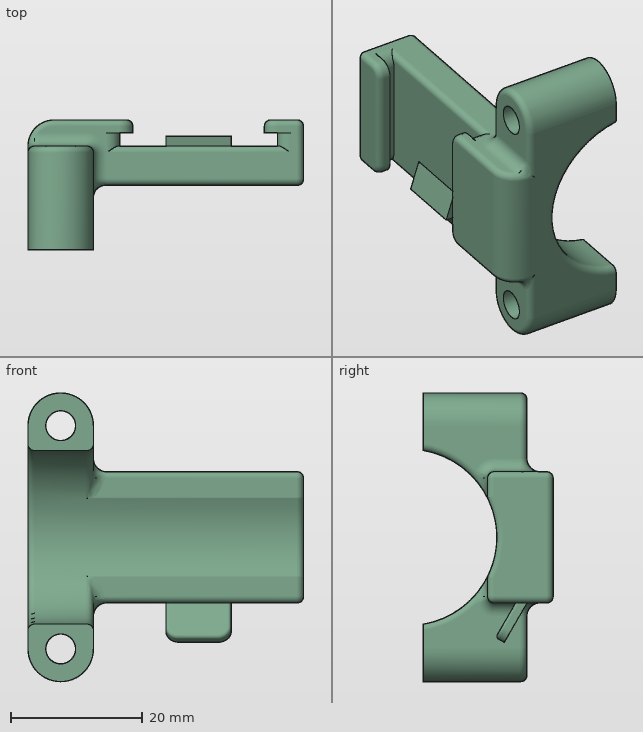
import cadquery as cq
import math

edge_radius = 1.0
junction_radius = 2.0
trough_edge_radius = 0.35

bore_radius = 13.4
saddle_width = 10.0
saddle_height = 44.0
saddle_front = 2.2
saddle_back = 18.0
screw_hole_diameter = 4.5
lug_radius = saddle_width / 2
screw_spacing = saddle_height - 2 * lug_radius

rail_length = 42.0
rail_height = 20.0
rail_thickness = 6.0
rail_front = saddle_back - rail_thickness
rail_middle = saddle_back - rail_thickness / 2
rail_span = (-rail_height / 2, rail_height / 2)

hook_rise = 4.0
hook_lip = 2.0
hook_overhang = 2.0
hook_bend_radius = 4.0
hook_corner_radius = 2.0
slot_start = 14.0
slot_end = 38.0
hook_back = saddle_back + hook_rise
hook_depth = (saddle_back - 2 * edge_radius, hook_back)
lip_front = hook_back - hook_lip
root_end = slot_start - hook_corner_radius
root_depth = (rail_front, hook_back)

catch_start = 21.0
catch_width = 10.0
catch_height = 1.5
catch_length = 4.5
tab_tilt = math.radians(30)
tab_thickness = 1.5
tab_drop = 6.0
tab_corner_radius = 2.0
tab_edge_radius = 0.5


def block(x_range, y_range, z_range):
    """Box spanning the given ranges along X, Y and Z."""
    spans = (x_range, y_range, z_range)
    sizes = [high - low for low, high in spans]
    return cq.Workplane("XY").box(*sizes, centered=False).translate(tuple(low for low, high in spans))


def cut_bore(body):
    """Run the bore through a body along X."""
    bore = cq.Workplane("YZ").circle(bore_radius).extrude(rail_length)
    return body.cut(bore)


def round_trough_edges(rail, edge_center_x):
    """Ease the two straight edges where the bore breaks out through the front of the rail."""
    half_trough = math.sqrt(bore_radius**2 - rail_front**2)
    upper_edge = cq.NearestToPointSelector((edge_center_x, rail_front, half_trough))
    lower_edge = cq.NearestToPointSelector((edge_center_x, rail_front, -half_trough))
    return rail.edges(upper_edge).add(rail.edges(lower_edge)).fillet(trough_edge_radius)


def make_saddle():
    """Bored upright plate with round ends, a softened back rim and a softened bore rim on the rail side."""
    depth = saddle_back - saddle_front
    plate = (
        cq.Workplane("XZ", origin=(saddle_width / 2, saddle_back, 0))
        .slot2D(saddle_height, saddle_width, 90)
        .extrude(depth)
    )
    plate = cut_bore(plate.faces(">Y").edges().fillet(edge_radius))
    return plate.faces(">X").edges("%CIRCLE").fillet(edge_radius)


def make_rail():
    """Bored slab along X with its long edges and its free end rounded."""
    slab = cut_bore(block((0, rail_length), (rail_front, saddle_back), rail_span))
    slab = round_trough_edges(slab, rail_length / 2)
    slab = slab.edges("(|X and (<Z or >Z)) or >X").fillet(edge_radius)
    return slab.intersect(block((root_end, rail_length), root_depth, rail_span))


def make_rail_root():
    """Start of the rail inside the saddle, as deep as the hook that bends over the back."""
    root = cut_bore(block((0, slot_start), root_depth, rail_span))
    root = root.edges("<X and >Y").fillet(hook_bend_radius)
    root = round_trough_edges(root, slot_start / 2)
    return root.edges("|X and (<Z or >Z or >Y)").fillet(edge_radius)


def make_blended_saddle():
    """Saddle carrying the root of the rail, with a concave blend along both halves of their junction."""
    joined = make_saddle().union(make_rail_root())
    upper_side = cq.NearestToPointSelector((saddle_width, rail_middle, rail_height / 2))
    lower_side = cq.NearestToPointSelector((saddle_width, rail_middle, -rail_height / 2))
    blended = joined.edges(upper_side).add(joined.edges(lower_side)).fillet(junction_radius)
    return blended.cut(block((root_end, slot_start), root_depth, rail_span))


def undercut_hook(hook, neck):
    """Keep the full hook outline in the lip and only the neck below it."""
    lip = block((0, rail_length), (lip_front, hook_back), rail_span)
    return hook.intersect(neck.union(lip))


def make_saddle_hook():
    """Hook at the saddle end, continuing the rail root, with its lip pointing along +X."""
    hook = block((hook_bend_radius, slot_start + hook_overhang), hook_depth, rail_span)
    hook = hook.edges(">X and |Y").fillet(hook_corner_radius)
    hook = hook.edges(">Y and (not <X)").fillet(edge_radius)
    neck = block((hook_bend_radius, slot_start), hook_depth, rail_span)
    return undercut_hook(hook, neck.edges(">X and |Y").fillet(hook_corner_radius))


def make_end_hook():
    """Hook at the free end of the rail, with its lip pointing along -X."""
    hook = block((slot_end - hook_overhang, rail_length), hook_depth, rail_span)
    hook = hook.edges("<X and |Y").fillet(hook_corner_radius)
    hook = hook.edges(">Y or (>X and |Y)").fillet(edge_radius)
    neck = block((slot_end, rail_length), hook_depth, rail_span)
    return undercut_hook(hook, neck.edges("<X and |Y").fillet(hook_corner_radius))


def extrude_across_catch(outline):
    """Extrude a closed outline of (Y, Z) points over the width of the catch."""
    return cq.Workplane("YZ", origin=(catch_start, 0, 0)).polyline(outline).close().extrude(catch_width)


def make_catch():
    """Wedge that rises from the back of the rail to its lower side."""
    bottom = -rail_height / 2
    root = saddle_back - edge_radius
    return extrude_across_catch(
        [
            (root, bottom),
            (saddle_back + catch_height, bottom),
            (saddle_back, bottom + catch_length),
            (root, bottom + catch_length),
        ]
    )


def make_tab():
    """Plate leaning forward from the lower back edge of the rail, with its free end rounded."""
    rail_bottom = -rail_height / 2
    root_top = rail_bottom + edge_radius
    back_tip = (saddle_back - tab_drop * math.tan(tab_tilt), rail_bottom - tab_drop)
    front_tip = (
        back_tip[0] - tab_thickness * math.cos(tab_tilt),
        back_tip[1] + tab_thickness * math.sin(tab_tilt),
    )
    front_top = (front_tip[0] + (root_top - front_tip[1]) * math.tan(tab_tilt), root_top)
    tab = extrude_across_catch(
        [(saddle_back, rail_bottom), back_tip, front_tip, front_top, (saddle_back, root_top)]
    )
    end_face = cq.NearestToPointSelector(
        (catch_start + catch_width / 2, (back_tip[0] + front_tip[0]) / 2, (back_tip[1] + front_tip[1]) / 2)
    )
    tab = tab.faces(end_face).edges("not |X").fillet(tab_corner_radius)
    front_edge = cq.NearestToPointSelector((catch_start + catch_width / 2, *front_tip))
    return tab.edges(front_edge).fillet(tab_edge_radius)


def cut_screw_holes(body):
    """Drill both lugs through along Y."""
    drills = (
        cq.Workplane("XZ")
        .rarray(1, screw_spacing, 1, 2)
        .circle(screw_hole_diameter / 2)
        .extrude(-hook_back)
        .translate((saddle_width / 2, 0, 0))
    )
    return body.cut(drills)


def round_entry_rim(body):
    """Round the rim of the bore on the saddle's outer side."""
    return body.faces("<X").edges("%CIRCLE").fillet(edge_radius)


body = make_blended_saddle().union(make_rail()).union(make_saddle_hook()).union(make_end_hook())
body = round_entry_rim(cut_screw_holes(body))
result = body.union(make_catch()).union(make_tab())